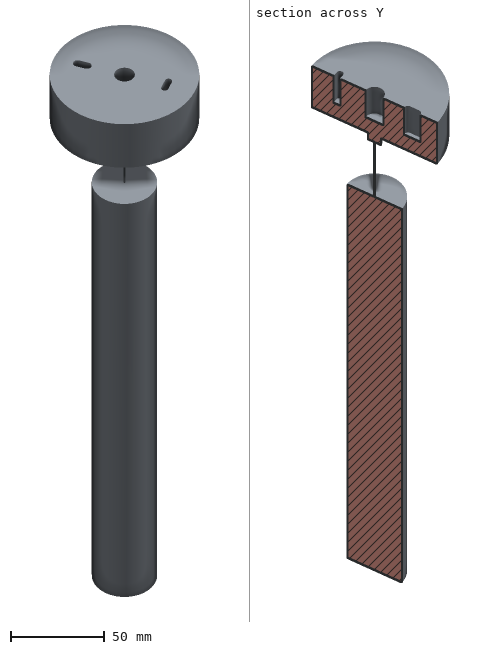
import cadquery as cq

total_height = 356.5
canopy_diameter = 80.0
canopy_height = 31.0
body_diameter = 35.0
body_height = 280.0

cord_diameter = 1.0
grip_diameter = 8.5
grip_height = 5.0

recess_depth = 20.0
center_hole_diameter = 11.0
slot_offset = 24.0
radial_slot_length = 10.5
radial_slot_width = 5.0
cross_slot_length = 10.0
cross_slot_width = 4.0

canopy_bottom = total_height - canopy_height
grip_bottom = canopy_bottom - grip_height


def cylinder(diameter, bottom, top):
    """Upright cylinder on the Z axis between two heights."""
    return cq.Workplane("XY").workplane(offset=bottom).circle(diameter / 2).extrude(top - bottom)


def slot_cutter(x, length, width, angle):
    """Round-ended slot cut down from the canopy top, turned by angle from the X axis."""
    top = cq.Workplane("XY").workplane(offset=total_height)
    return top.center(x, 0).slot2D(length, width, angle).extrude(-recess_depth)


body = cylinder(body_diameter, 0, body_height)
cord = cylinder(cord_diameter, body_height, grip_bottom)
grip = cylinder(grip_diameter, grip_bottom, canopy_bottom)
canopy = cylinder(canopy_diameter, canopy_bottom, total_height)

center_hole = cylinder(center_hole_diameter, total_height - recess_depth, total_height)
radial_slot = slot_cutter(-slot_offset, radial_slot_length, radial_slot_width, 0)
cross_slot = slot_cutter(slot_offset, cross_slot_length, cross_slot_width, 90)
canopy = canopy.cut(center_hole).cut(radial_slot).cut(cross_slot)

result = body.union(cord).union(grip).union(canopy)